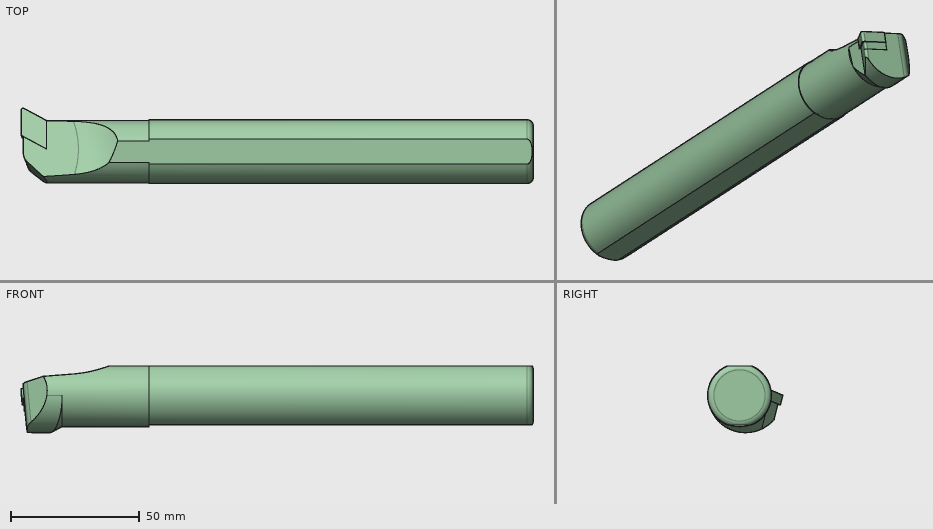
import cadquery as cq
import math


overall_length = 200.0
shank_radius = 12.5
flat_height = 11.5
end_round = 2.5

neck_end = 50.0
neck_radius = 12.25

head_radius = 14.6
head_centre_y = head_radius - neck_radius
head_end = 16.0
head_taper_angle = 28.0

rake_origin_y = 16.98
rake_origin_z = 0.0
rake_rise_x = math.tan(math.radians(5.5))
rake_fall_y = math.tan(math.radians(14.0))

runout_start = 22.5
runout_plan_radius = 33.0
runout_round = 30.0
runout_height = 12.0

insert_edge = 11.5
insert_angle = 60.0
insert_skew = math.radians(insert_angle)
insert_nose_radius = 0.8
insert_thickness = 4.0
pad_thickness = 2.9
pad_inset = 0.6

front_setback = 0.8
side_setback = 0.5
corner_start_y = -20.1
front_corner_radius = 5.0
front_chamfer_angle = 44.0
limit_x = 50.0
limit_y = -60.0
limit_depth = 60.0


rake_plane = cq.Plane(
    origin=(0, rake_origin_y, rake_origin_z),
    xDir=(1 + rake_fall_y**2, rake_rise_x * rake_fall_y, rake_rise_x),
    normal=(-rake_rise_x, rake_fall_y, 1),
)


def round_edge(solid, x, y, depth, radius):
    """Round the edge that passes nearest to a point below the rake face."""
    point = rake_plane.toWorldCoords((x, y, -depth)).toTuple()
    return solid.edges(cq.selectors.NearestToPointSelector(point)).fillet(radius)


def rod(radius, start, end, centre_y=0.0):
    return cq.Workplane("YZ", origin=(start, centre_y, 0)).circle(radius).extrude(end - start)


def nose_side_y(x, inset):
    """Y on the rake face of the side edge that slants back from the nose, moved in by inset."""
    corner_y = insert_nose_radius * (1 / math.tan(insert_skew / 2) - 1)
    return corner_y - x / math.tan(insert_skew) - inset / math.sin(insert_skew)


def rhombus_plate(top, thickness, inset):
    """Plate under the rake face with a rounded nose, its outer edges moved in by inset."""
    back_x = insert_edge * math.sin(insert_skew)
    plate = (
        cq.Workplane(rake_plane)
        .workplane(offset=-top)
        .polyline([
            (inset, nose_side_y(inset, inset)),
            (back_x, nose_side_y(back_x, inset)),
            (back_x, nose_side_y(back_x, 0) - insert_edge),
            (inset, nose_side_y(inset, 0) - insert_edge),
        ])
        .close()
        .extrude(-thickness)
    )
    return round_edge(plate, inset, nose_side_y(inset, inset), top + thickness / 2, insert_nose_radius)


def make_shank():
    shank = rod(shank_radius, neck_end, overall_length).faces(">X").edges().fillet(end_round)
    flats = cq.Workplane("XY").box(4 * overall_length, 4 * shank_radius, 2 * flat_height)
    return shank.intersect(flats)


def make_neck(start, end):
    """Length of neck with a flat on top, level with the upper shank flat."""
    below_flat = cq.Workplane("XY", origin=(0, 0, flat_height)).rect(4 * neck_end, 4 * neck_radius)
    return rod(neck_radius, start, end).intersect(below_flat.extrude(-4 * neck_radius))


def make_head_bulge():
    """Lower half of an off-centre cylinder, ended by a cone about the bar axis."""
    cone_base_radius = neck_radius + head_end * math.tan(math.radians(head_taper_angle))
    cone = (
        cq.Workplane("XZ")
        .polyline([(0, 0), (head_end, 0), (head_end, -neck_radius), (0, -cone_base_radius)])
        .close()
        .revolve(360, (0, 0, 0), (1, 0, 0))
    )
    lower_half = cq.Workplane("XY").rect(4 * head_end, 4 * head_radius).extrude(-2 * head_radius)
    return rod(head_radius, 0, head_end, head_centre_y).intersect(cone).intersect(lower_half)


def make_head_limit():
    """Prism square to the rake face that bounds the front and +Y side of the head."""
    side_y = (neck_radius - rake_origin_y) * math.hypot(1, rake_fall_y)
    front_y = nose_side_y(front_setback, side_setback)
    side_start_x = front_setback + (front_y - side_y) * math.tan(insert_skew)
    chamfer_run = (corner_start_y - limit_y) / math.tan(math.radians(front_chamfer_angle))
    prism = (
        cq.Workplane(rake_plane)
        .polyline([
            (front_setback, front_y),
            (side_start_x, side_y),
            (limit_x, side_y),
            (limit_x, limit_y),
            (front_setback + chamfer_run, limit_y),
            (front_setback, corner_start_y),
        ])
        .close()
        .extrude(limit_depth, both=True)
    )
    prism = round_edge(prism, front_setback, front_y, 0, insert_nose_radius)
    return round_edge(prism, front_setback, corner_start_y, 0, front_corner_radius)


def make_runout_cutter():
    """Round tool shape that clears the rake face and sweeps up out of the neck."""
    end_radius = runout_plan_radius + math.sqrt(2 * runout_round * runout_height - runout_height**2)
    mid_angle = math.acos(1 - runout_height / runout_round) / 2
    mid = (
        runout_plan_radius + runout_round * math.sin(mid_angle),
        runout_round * (1 - math.cos(mid_angle)),
    )
    centre_x = runout_start - runout_plan_radius
    centre = rake_plane.toWorldCoords((centre_x, -rake_origin_y, 0))
    side_plane = cq.Plane(origin=centre.toTuple(), xDir=rake_plane.xDir, normal=-rake_plane.yDir)
    return (
        cq.Workplane(side_plane)
        .lineTo(runout_plan_radius, 0)
        .threePointArc(mid, (end_radius, runout_height))
        .lineTo(0, runout_height)
        .close()
        .revolve(360, (0, 0, 0), (0, 1, 0))
    )


head = (
    make_neck(0, head_end)
    .union(make_head_bulge())
    .intersect(make_head_limit())
)
insert = rhombus_plate(0, insert_thickness, 0)
seat_pad = rhombus_plate(insert_thickness, pad_thickness, pad_inset)
holder = (
    head.union(make_neck(head_end, neck_end))
    .union(make_shank())
    .cut(make_runout_cutter())
    .union(seat_pad)
    .cut(insert)
)
result = cq.Compound.makeCompound([holder.val(), insert.val()])